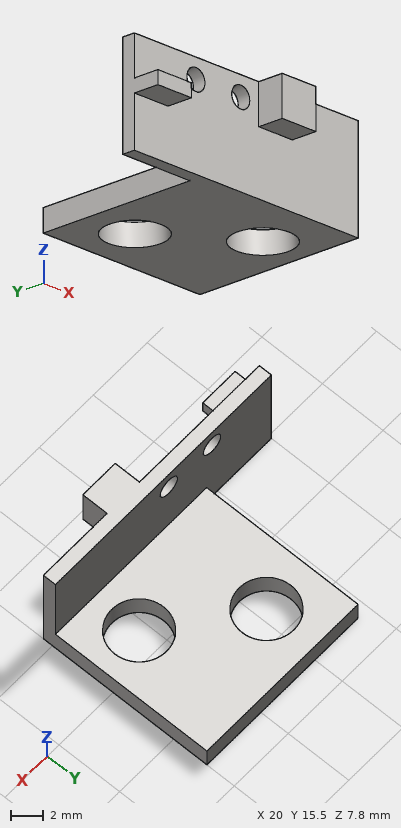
import cadquery as cq

plate_length = 20
plate_thickness = 1
plate_height = 7.8

base_length = 14
base_depth = 12.5
base_thickness = 1.7
base_left = plate_length - base_length
base_back = plate_thickness + base_depth

base_hole_diameter = 4.5
base_hole_offsets = [(4, 4), (10.35, 8.85)]

plate_hole_diameter = 1.6
plate_hole_left = 5.5
plate_hole_spacing = 4
plate_hole_drop = 1.5

lug_width = 3
lug_projection = 2
block_left = 11.1
block_height = 3
tab_height = 1
block_bottom = plate_height - block_height
tab_bottom = block_bottom - tab_height


def box_at(corner, size):
    """Box with its minimum corner at the given point."""
    return cq.Workplane("XY").box(*size, centered=False).translate(corner)


def lug(left, bottom, height):
    """Rectangular lug projecting forward from the plate."""
    return box_at((left, -lug_projection, bottom), (lug_width, lug_projection, height))


plate = box_at((0, 0, 0), (plate_length, plate_thickness, plate_height))
base = box_at((base_left, plate_thickness, 0), (base_length, base_depth, base_thickness))
block = lug(block_left, block_bottom, block_height)
tab = lug(0, tab_bottom, tab_height)

base_holes = (
    cq.Workplane("XY")
    .pushPoints([(base_left + x, base_back - y) for x, y in base_hole_offsets])
    .circle(base_hole_diameter / 2)
    .extrude(base_thickness)
)

plate_hole_height = plate_height - plate_hole_drop
plate_holes = (
    cq.Workplane("XZ")
    .pushPoints([(plate_hole_left + i * plate_hole_spacing, plate_hole_height) for i in range(2)])
    .circle(plate_hole_diameter / 2)
    .extrude(-plate_thickness)
)

result = plate.union(base).union(block).union(tab).cut(base_holes).cut(plate_holes)